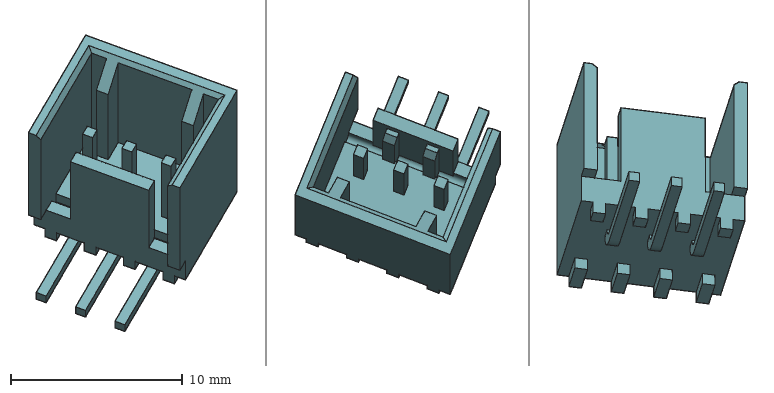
import cadquery as cq
import math


housing_width = 9.75
base_depth = 7.2
housing_height = 9.65
floor_height = 1.81
side_wall = 0.8
back_wall = 0.89
wall_overhang = 0.76
rim_chamfer_side = 0.3
rim_chamfer = 0.26

pin_count = 3
pin_pitch = 2.53
pin_size = 0.64
pin_top = 6.91
pin_back = 3.05
pin_drop = 1.27
tail_reach = 4.05

panel_width = 5.04
panel_thickness = 0.79
panel_top = 7.26
latch_width = 0.75
latch_depth = 0.71
latch_flat = 0.29
latch_top = 6.58

key_width = 0.75
key_offset = 2.75
key_slope = 1.65

groove_front = 0.75
groove_depth = 0.75
groove_width = 0.58
groove_fillet = 0.28

foot_count = 4
foot_width = 0.75
foot_height = 0.75
front_foot_depth = 0.8
back_foot_depth = 1.81

inner_width = housing_width - 2 * side_wall
inner_back = base_depth - back_wall


def box(width, y_range, z_range, x_centre=0.0):
    """Block centred on x_centre that spans the given Y and Z ranges."""
    return (
        cq.Workplane("XY")
        .box(width, y_range[1] - y_range[0], z_range[1] - z_range[0], centered=(True, False, False))
        .translate((x_centre, y_range[0], z_range[0]))
    )


def extrude_profile(yz_points, width, x_centre=0.0):
    """Prism along X, centred on x_centre, from a closed YZ outline."""
    profile = cq.Workplane("YZ").polyline(yz_points).close()
    return profile.extrude(width / 2, both=True).translate((x_centre, 0, 0))


def row_positions(count):
    """X centres of a row of items spaced at the pin pitch."""
    return [(i - (count - 1) / 2) * pin_pitch for i in range(count)]


def make_shell():
    """Base with a back wall and two side walls, open at the front and top."""
    base = box(housing_width, (0, base_depth), (0, floor_height))
    walls = box(housing_width, (-wall_overhang, base_depth), (floor_height, housing_height))
    cavity = box(inner_width, (-wall_overhang, inner_back), (floor_height, housing_height))
    return base.union(walls.cut(cavity))


def make_rim_cutter():
    """Sloped lead-in around the top of the cavity."""
    rim_bottom = housing_height - rim_chamfer
    side_profile = [
        (-inner_width / 2, rim_bottom),
        (inner_width / 2, rim_bottom),
        (inner_width / 2 + rim_chamfer_side, housing_height),
        (-inner_width / 2 - rim_chamfer_side, housing_height),
    ]
    cutter_back = inner_back + rim_chamfer
    across = (
        cq.Workplane("XZ", origin=(0, cutter_back, 0))
        .polyline(side_profile)
        .close()
        .extrude(cutter_back + wall_overhang)
    )
    along = extrude_profile(
        [
            (-wall_overhang, rim_bottom),
            (inner_back, rim_bottom),
            (cutter_back, housing_height),
            (-wall_overhang, housing_height),
        ],
        housing_width,
    )
    return across.intersect(along)


def make_groove_cutter():
    """Floor groove with upright sides and a round where its front side meets its bottom."""
    return (
        box(
            inner_width,
            (groove_front, groove_front + groove_width),
            (floor_height - groove_depth, floor_height),
        )
        .edges("|X and <Y and <Z")
        .fillet(groove_fillet)
    )


def make_panel():
    """Upright front panel standing on the base."""
    return box(panel_width, (0, panel_thickness), (0, panel_top))


def make_latch_rib(x_centre):
    """Rib on the rear of the panel with a 45 degree lead-in at its top."""
    rib_back = panel_thickness + latch_depth
    slope = latch_depth - latch_flat
    rib_bottom = floor_height - groove_depth
    return extrude_profile(
        [
            (panel_thickness, rib_bottom),
            (rib_back, rib_bottom),
            (rib_back, latch_top - slope),
            (rib_back - slope, latch_top),
            (panel_thickness, latch_top),
        ],
        latch_width,
        x_centre,
    )


def make_key_rib(x_centre):
    """Rib on the back wall whose top slopes down from the rim at 45 degrees."""
    slope_start = inner_back + rim_chamfer
    rib_front = slope_start - key_slope
    return extrude_profile(
        [
            (slope_start, floor_height),
            (slope_start, housing_height),
            (rib_front, housing_height - key_slope),
            (rib_front, floor_height),
        ],
        key_width,
        x_centre,
    )


def make_pin(x_centre):
    """Square pin, upright in the housing and bent forward into a tail below it."""
    outer_radius = pin_drop
    inner_radius = outer_radius - pin_size
    bend_y = pin_back - outer_radius
    diagonal = math.sqrt(0.5)
    outline = (
        cq.Workplane("YZ")
        .moveTo(pin_back, pin_top)
        .lineTo(pin_back, 0)
        .threePointArc(
            (bend_y + outer_radius * diagonal, -outer_radius * diagonal),
            (bend_y, -outer_radius),
        )
        .lineTo(-tail_reach, -outer_radius)
        .lineTo(-tail_reach, -inner_radius)
        .lineTo(bend_y, -inner_radius)
        .threePointArc(
            (bend_y + inner_radius * diagonal, -inner_radius * diagonal),
            (bend_y + inner_radius, 0),
        )
        .lineTo(bend_y + inner_radius, pin_top)
        .close()
    )
    return outline.extrude(pin_size / 2, both=True).translate((x_centre, 0, 0))


housing = make_shell().cut(make_rim_cutter()).cut(make_groove_cutter()).union(make_panel())

for latch_x in row_positions(pin_count - 1):
    housing = housing.union(make_latch_rib(latch_x))

for key_x in (-key_offset, key_offset):
    housing = housing.union(make_key_rib(key_x))

front_foot_span = (0, front_foot_depth)
back_foot_span = (base_depth - back_foot_depth, base_depth)
for foot_x in row_positions(foot_count):
    for foot_span in (front_foot_span, back_foot_span):
        housing = housing.union(box(foot_width, foot_span, (-foot_height, 0), foot_x))

result = housing
for pin_x in row_positions(pin_count):
    result = result.union(make_pin(pin_x))